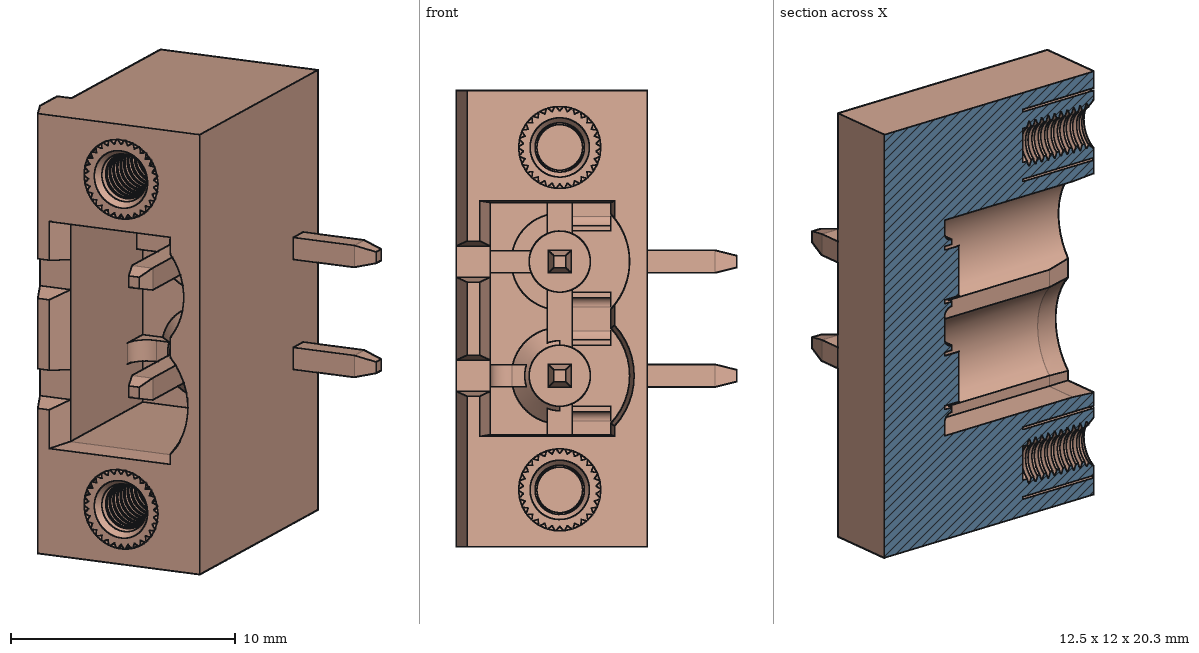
import cadquery as cq
import math


height = 20.32
depth = 12.0
right_side = 8.51
lip_thickness = 0.71
lip_depth = 2.99
lip_chamfer_x = 0.49
mouth_depth = 1.22

axis_x = 4.61
pole_pitch = 5.08
insert_pitch = 15.25
pole_heights = [(height - pole_pitch) / 2, (height + pole_pitch) / 2]
lower_pole, upper_pole = pole_heights
insert_heights = [(height - insert_pitch) / 2, (height + insert_pitch) / 2]

cavity_floor = 8.53
cavity_left = 1.52
cavity_right = 6.89
cavity_height = 10.32
mouth_left_flare = 0.47
mouth_right_flare = 0.16
mouth_height_flare = 0.08
bore_radius = 3.1
lower_bore_mouth_radius = 3.31

notch_front_half = 0.91
notch_back_half = 0.7

boss_radius = 1.36
boss_height = 0.81
collar_radius = 2.15
collar_height = 0.4
cross_bar_width = 1.12
cross_bar_height = 0.6
key_bar_width = 0.98
key_bar_fillet = 0.95
guide_height = 0.4
guide_crest = 0.25
guide_inner = boss_radius

pin_width = 1.02
pin_tip_width = 0.53
contact_tip_y = 1.32
contact_taper = 0.85
tail_y = 10.0
tail_end_x = 12.5
tail_taper = 0.98

knurl_radius = 1.83
knurl_depth = 0.2
knurl_count = 30
knurl_fill = 0.85
knurl_length = 4.06
hole_radius = 1.02
hole_mouth_radius = 1.32
hole_depth = 4.06
hole_chamfer_depth = 0.3
hole_chamfer_radius = 1.1
thread_radius = 1.24
thread_pitch = 0.37
thread_crest = 0.15
thread_turns = 10


def box(x0, x1, y0, y1, z0, z1):
    """Block between two opposite corners."""
    return cq.Workplane("XY").box(x1 - x0, y1 - y0, z1 - z0, centered=False).translate((x0, y0, z0))


def front_plane(y, z, x=axis_x):
    """Plane facing the mating side; positive extrusion comes forward, out of the housing."""
    return cq.Workplane(cq.Plane(origin=(x, y, z), xDir=(1, 0, 0), normal=(0, -1, 0)))


def turned(profile, z):
    """Solid turned about the insert or pole line at height z, from (radius, Y) points."""
    outline = cq.Workplane("XY").polyline(profile).close()
    return outline.revolve(360, (0, 0, 0), (0, 1, 0)).translate((axis_x, 0, z))


def make_housing():
    outline = [
        (lip_chamfer_x, 0),
        (right_side, 0),
        (right_side, depth),
        (lip_thickness, depth),
        (lip_thickness, lip_depth),
        (0, lip_depth),
        (0, mouth_depth),
    ]
    return cq.Workplane("XY").polyline(outline).close().extrude(height)


def make_cavity():
    middle = height / 2
    half = cavity_height / 2
    pocket = box(cavity_left, cavity_right, mouth_depth, cavity_floor, middle - half, middle + half)

    mouth_left = cavity_left - mouth_left_flare
    mouth_right = cavity_right + mouth_right_flare
    mouth_height = cavity_height + 2 * mouth_height_flare
    mouth = (
        front_plane(0, z=middle, x=(mouth_left + mouth_right) / 2)
        .rect(mouth_right - mouth_left, mouth_height)
        .workplane(offset=-mouth_depth)
        .center((cavity_left + cavity_right - mouth_left - mouth_right) / 2, 0)
        .rect(cavity_right - cavity_left, cavity_height)
        .loft(ruled=True)
    )
    return pocket.union(mouth)


def make_bore(z, mouth_radius):
    """Round scallop for one pole in the right-hand cavity wall."""
    profile = [
        (0, 0),
        (mouth_radius, 0),
        (bore_radius, mouth_depth),
        (bore_radius, cavity_floor),
        (0, cavity_floor),
    ]
    right_part = box(cavity_right, right_side, 0, cavity_floor, z - mouth_radius, z + mouth_radius)
    return turned(profile, z).intersect(right_part)


def make_notch(z):
    """Notch through the lip that narrows away from the mating face."""
    outline = [
        (0, z - notch_front_half),
        (0, z + notch_front_half),
        (mouth_depth, z + notch_back_half),
        (mouth_depth, z - notch_back_half),
    ]
    return cq.Workplane("YZ").polyline(outline).close().extrude(cavity_left)


def make_boss(z):
    """Round boss that carries a contact pin."""
    return front_plane(cavity_floor, z=z).circle(boss_radius).extrude(boss_height)


def make_cone_collar(z):
    return turned(
        [
            (0, cavity_floor),
            (collar_radius, cavity_floor),
            (boss_radius, cavity_floor - boss_height),
            (0, cavity_floor - boss_height),
        ],
        z,
    )


def make_disc_collar(z):
    return front_plane(cavity_floor, z=z).circle(collar_radius).extrude(collar_height)


def left_half(collar, z):
    """Keep the part of a collar on the lip side of the pole."""
    return collar.intersect(
        box(cavity_left, axis_x, 0, cavity_floor, z - collar_radius, z + collar_radius)
    )


def make_key_bar(z):
    """Bar from the left cavity wall to the boss."""
    return box(
        cavity_left,
        axis_x,
        cavity_floor - cross_bar_height,
        cavity_floor,
        z - key_bar_width / 2,
        z + key_bar_width / 2,
    )


def make_key_bar_fillet(z):
    """Concave sweep from the top of a key bar up the left cavity wall."""
    crest = cavity_floor - cross_bar_height
    corner = (cavity_left, crest)
    return (
        cq.Workplane("XY")
        .moveTo(*corner)
        .lineTo(cavity_left + key_bar_fillet, crest)
        .radiusArc((cavity_left, crest - key_bar_fillet), -key_bar_fillet)
        .close()
        .extrude(key_bar_width)
        .translate((0, 0, z - key_bar_width / 2))
    )


def make_guide(z, side):
    """Ledge beside a boss, steep toward the boss and sweeping down to the floor away from it."""
    top = cavity_floor - guide_height
    inner = z + side * guide_inner
    crest_end = inner + side * guide_crest
    return (
        cq.Workplane("YZ")
        .workplane(offset=axis_x)
        .moveTo(cavity_floor, inner)
        .lineTo(top, inner)
        .lineTo(top, crest_end)
        .radiusArc((cavity_floor, crest_end + side * guide_height), -side * guide_height)
        .close()
        .extrude(cavity_right - axis_x)
    )


def make_cross_bar():
    middle = height / 2
    return box(
        axis_x - cross_bar_width / 2,
        axis_x + cross_bar_width / 2,
        cavity_floor - cross_bar_height,
        cavity_floor,
        middle - cavity_height / 2,
        middle + cavity_height / 2,
    )


def make_pin(plane, length, taper):
    """Square pin that starts on the plane and ends in a tapered tip."""
    shaft = plane.rect(pin_width, pin_width).extrude(length - taper)
    tip = (
        plane.workplane(offset=length - taper)
        .rect(pin_width, pin_width)
        .workplane(offset=taper)
        .rect(pin_tip_width, pin_tip_width)
        .loft(ruled=True)
    )
    return shaft.union(tip)


def make_contact(z):
    return make_pin(front_plane(tail_y, z=z), tail_y - contact_tip_y, contact_taper)


def make_tail(z):
    start = cq.Plane(origin=(axis_x, tail_y, z), xDir=(0, 1, 0), normal=(1, 0, 0))
    return make_pin(cq.Workplane(start), tail_end_x - axis_x, tail_taper)


def make_threaded_hole(z):
    profile = [(0, 0), (hole_mouth_radius, 0), (hole_chamfer_radius, hole_chamfer_depth)]
    for turn in range(thread_turns):
        y = hole_chamfer_depth + turn * thread_pitch
        profile.append((thread_radius, y + (thread_pitch - thread_crest) / 2))
        profile.append((hole_radius, y + thread_pitch - thread_crest))
        profile.append((hole_radius, y + thread_pitch))
    profile += [(hole_radius, hole_depth), (0, hole_depth)]
    return turned(profile, z)


def make_knurl(z):
    """Ring of V-grooves around one insert."""
    pitch_angle = 2 * math.pi / knurl_count
    half_angle = knurl_fill * pitch_angle / 2
    root_radius = knurl_radius - knurl_depth
    grooves = front_plane(0, z=z)
    for index in range(knurl_count):
        angle = math.pi / 2 + index * pitch_angle
        corners = [
            (knurl_radius, angle - half_angle),
            (root_radius, angle),
            (knurl_radius, angle + half_angle),
        ]
        points = [(r * math.cos(a), r * math.sin(a)) for r, a in corners]
        grooves = grooves.polyline(points).close()
    return grooves.extrude(-knurl_length)


result = make_housing().cut(make_cavity())
result = result.cut(make_bore(upper_pole, bore_radius))
result = result.cut(make_bore(lower_pole, lower_bore_mouth_radius))

result = result.union(make_cross_bar())
result = result.union(left_half(make_disc_collar(upper_pole), upper_pole))
result = result.union(left_half(make_cone_collar(lower_pole), lower_pole))
result = result.union(make_key_bar(upper_pole))
result = result.union(make_key_bar(lower_pole)).union(make_key_bar_fillet(lower_pole))

for pole in pole_heights:
    result = result.cut(make_notch(pole))
    result = result.union(make_boss(pole))
    for side in (-1, 1):
        result = result.union(make_guide(pole, side))
    result = result.union(make_contact(pole)).union(make_tail(pole))

for insert in insert_heights:
    result = result.cut(make_threaded_hole(insert)).cut(make_knurl(insert))